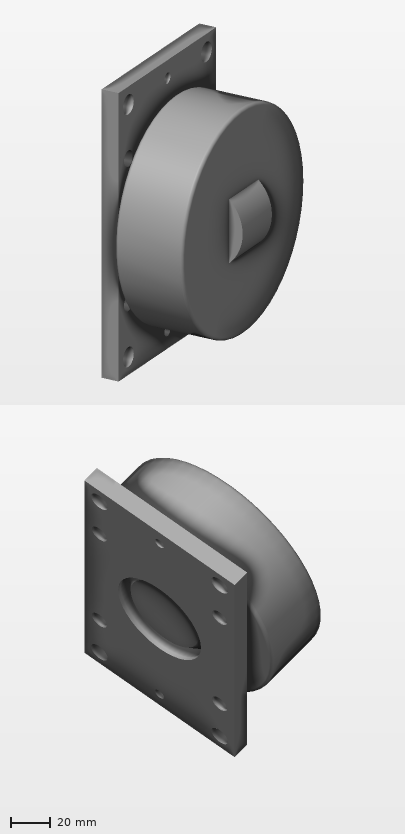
import cadquery as cq

plate_height = 160
plate_width = plate_height * 5 / 8
plate_thickness = plate_height / 16

neck_length = plate_thickness / 2
neck_diameter = 80.8
drum_length = 4 * plate_thickness
drum_diameter = 1.25 * plate_width
drum_edge_radius = 2.0

key_projection = 8
key_width = 3 * plate_thickness
key_radius = 23.7

bore_diameter = 55.0
bore_depth = 0.9 * plate_thickness
cone_height = plate_thickness / 2
cone_tip_diameter = bore_diameter - 2 * cone_height

corner_hole_diameter = 11.0
dowel_hole_diameter = 6.0
screw_hole_diameter = 9.0
screw_hole_bevel = 0.5
hole_edge_margin = plate_thickness
column_y = plate_width / 2 - hole_edge_margin
corner_z = plate_height / 2 - hole_edge_margin
screw_z = column_y

drum_start = plate_thickness + neck_length
drum_end = drum_start + drum_length


def cylinder_x(start, length, diameter):
    """Cylinder along +X, centred on the X axis."""
    return cq.Workplane("YZ", origin=(start, 0, 0)).circle(diameter / 2).extrude(length)


def plate_holes(points, diameter, depth):
    """Round cutters entering the outer plate face at the given (y, z) points."""
    return cq.Workplane("YZ").pushPoints(points).circle(diameter / 2).extrude(depth)


def mirrored_points(y, z):
    return [(side * y, end * z) for side in (-1, 1) for end in (-1, 1)]


plate = cq.Workplane("YZ").rect(plate_width, plate_height).extrude(plate_thickness)
neck = cylinder_x(plate_thickness, neck_length, neck_diameter)

drum = cylinder_x(drum_start, drum_length, drum_diameter).edges("%CIRCLE").fillet(drum_edge_radius)

key_centre_x = drum_end + key_projection - key_radius
key_round = (
    cq.Workplane("XZ")
    .center(key_centre_x, 0)
    .circle(key_radius)
    .extrude(key_width / 2, both=True)
)
key = key_round.intersect(cylinder_x(drum_end, key_projection, drum_diameter))

bore = cylinder_x(0, bore_depth, bore_diameter)
cone = (
    cq.Workplane("YZ", origin=(bore_depth, 0, 0))
    .circle(bore_diameter / 2)
    .workplane(offset=-cone_height)
    .circle(cone_tip_diameter / 2)
    .loft()
)

corner_holes = plate_holes(mirrored_points(column_y, corner_z), corner_hole_diameter, plate_thickness)
dowel_holes = plate_holes([(0, -corner_z), (0, corner_z)], dowel_hole_diameter, plate_thickness)
screw_holes = plate_holes(mirrored_points(column_y, screw_z), screw_hole_diameter, plate_thickness)

screw_mouths = (
    cq.Workplane("YZ")
    .pushPoints(mirrored_points(column_y, screw_z))
    .circle(screw_hole_diameter / 2 + screw_hole_bevel)
    .extrude(screw_hole_bevel, taper=45)
)

result = (
    plate.union(neck)
    .union(drum)
    .union(key)
    .cut(bore)
    .union(cone)
    .cut(corner_holes)
    .cut(dowel_holes)
    .cut(screw_holes)
    .cut(screw_mouths)
)